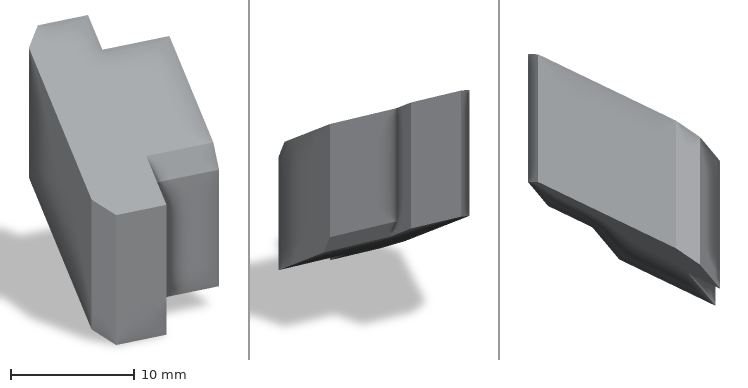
import cadquery as cq
import math

width = 15.0
depth = 12.0
height = 22.22
slope = math.tan(math.radians(35))

head_depth = depth / 2
head_chamfer = 0.1 * width
stem_width = 9.5
corner_run = 1.1
corner_drop = 1.2

half_width = width / 2
half_side = (height - width * slope) / 2


def sheared_prism(plan):
    """Extrude an XY outline along Z, with both ends on the sloping planes."""
    bar = cq.Workplane("XY", origin=(0, 0, -height / 2)).polyline(plan).close().extrude(height)
    end_rise = half_width * slope
    band = (
        cq.Workplane("XZ")
        .polyline([
            (-half_width, end_rise + half_side),
            (half_width, -end_rise + half_side),
            (half_width, -end_rise - half_side),
            (-half_width, end_rise - half_side),
        ])
        .close()
        .extrude(-depth)
    )
    return bar.intersect(band)


def make_head():
    """Full-width head with its two front vertical edges chamfered."""
    flat_half = half_width - head_chamfer
    return sheared_prism([
        (-flat_half, 0),
        (flat_half, 0),
        (half_width, head_chamfer),
        (half_width, head_depth),
        (-half_width, head_depth),
        (-half_width, head_chamfer),
    ])


def make_stem():
    """Parallelogram stem with its upper +X and lower -X corners cut flat."""
    right = stem_width / 2
    cut_x = right - corner_run
    upper_half = [
        (cut_x, half_side - cut_x * slope),
        (right, half_side - right * slope - corner_drop),
        (right, -half_side - right * slope),
    ]
    lower_half = [(-x, -z) for x, z in upper_half]
    return (
        cq.Workplane("XZ", origin=(0, head_depth, 0))
        .polyline(upper_half + lower_half)
        .close()
        .extrude(-(depth - head_depth))
    )


result = make_head().union(make_stem())